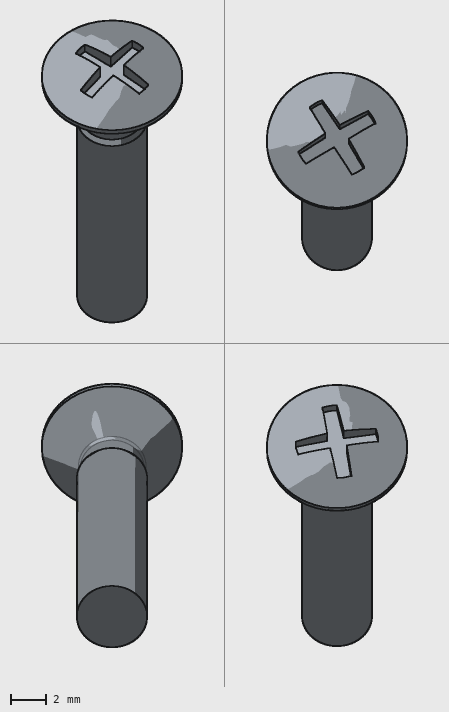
import cadquery as cq
import math

crown_z = 20.9
dome_height = 0.85
rim_height = 0.33
head_radius = 3.999
shank_radius = 2.0
neck_radius = 1.82
neck_fillet = 0.35
cone_angle = math.radians(45)
shoulder_z = 16.45
shoulder_height = 0.35

recess_depth = 0.92
recess_reach = 2.35
arm_root_half_width = 0.48
arm_tip_half_width = 0.42

dome_base_z = crown_z - dome_height
rim_bottom_z = dome_base_z - rim_height


def screw_body():
    """Revolve the half profile about Z."""
    dome_radius = (head_radius**2 + dome_height**2) / (2 * dome_height)
    dome_mid_r = head_radius / 2
    dome_mid_z = crown_z - dome_radius + math.sqrt(dome_radius**2 - dome_mid_r**2)

    fillet_center_r = neck_radius + neck_fillet
    cone_end_r = fillet_center_r - neck_fillet * math.cos(cone_angle)
    cone_end_z = rim_bottom_z - (head_radius - cone_end_r) / math.tan(cone_angle)
    fillet_center_z = cone_end_z - neck_fillet * math.sin(cone_angle)
    fillet_mid_r = fillet_center_r - neck_fillet * math.cos(cone_angle / 2)
    fillet_mid_z = fillet_center_z + neck_fillet * math.sin(cone_angle / 2)

    return (
        cq.Workplane("XZ")
        .lineTo(shank_radius, 0)
        .lineTo(shank_radius, shoulder_z - shoulder_height)
        .lineTo(neck_radius, shoulder_z)
        .lineTo(neck_radius, fillet_center_z)
        .threePointArc((fillet_mid_r, fillet_mid_z), (cone_end_r, cone_end_z))
        .lineTo(head_radius, rim_bottom_z)
        .lineTo(head_radius, dome_base_z)
        .threePointArc((dome_mid_r, dome_mid_z), (0, crown_z))
        .close()
        .revolve(360, (0, 0, 0), (0, 1, 0))
    )


def recess_arm(angle):
    """Tapered arm with a rounded tip, reaching from the screw axis."""
    tip_x = math.sqrt(recess_reach**2 - arm_tip_half_width**2)
    return (
        cq.Workplane("XY", origin=(0, 0, crown_z - recess_depth))
        .moveTo(0, -arm_root_half_width)
        .lineTo(arm_root_half_width, -arm_root_half_width)
        .lineTo(tip_x, -arm_tip_half_width)
        .threePointArc((recess_reach, 0), (tip_x, arm_tip_half_width))
        .lineTo(arm_root_half_width, arm_root_half_width)
        .lineTo(0, arm_root_half_width)
        .close()
        .extrude(recess_depth)
        .rotate((0, 0, 0), (0, 0, 1), angle)
    )


result = screw_body()
for arm_angle in (0, 90, 180, 270):
    result = result.cut(recess_arm(arm_angle))